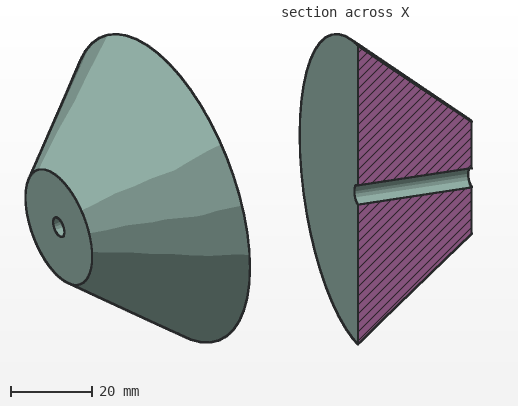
import cadquery as cq

large_diameter = 80.0
small_diameter = 30.0
length = 30.0
bore_diameter = 5.0

large_radius = large_diameter / 2
small_radius = small_diameter / 2
bore_radius = bore_diameter / 2


def bored_cone():
    """Truncated cone along Y, widening toward +Y, with a through bore on its axis."""
    half_section = (
        cq.Workplane("XY")
        .moveTo(bore_radius, 0)
        .lineTo(small_radius, 0)
        .lineTo(large_radius, length)
        .lineTo(bore_radius, length)
        .close()
    )
    return half_section.revolve(360, (0, 0, 0), (0, 1, 0))


result = bored_cone()